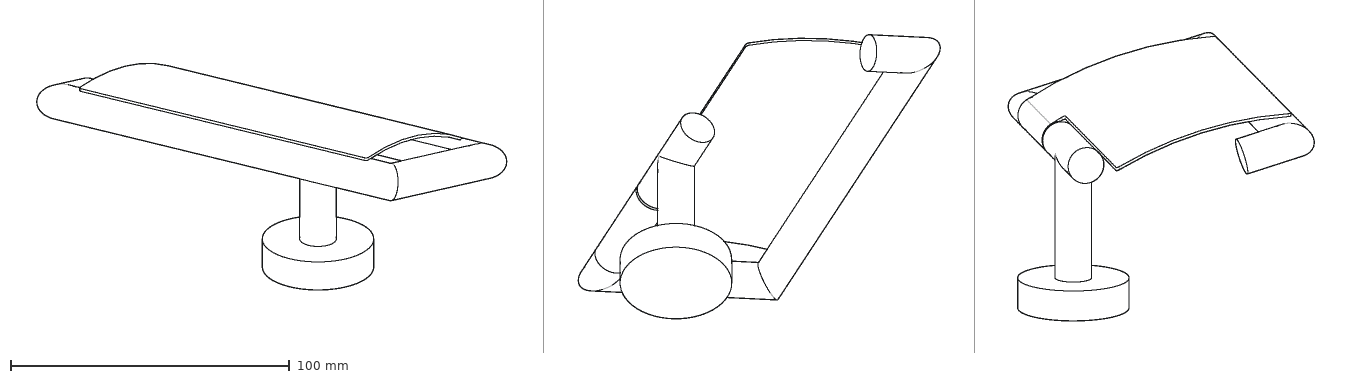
import cadquery as cq
import math

tube_radius = 6.6
flange_diameter = 40.0
flange_height = 11.1
hinge_height = 57.3
socket_half_length = flange_diameter / 2

arm_tilt = 15
arm_reach = 66.9
arm_left = -75.3
arm_length = 150
arm_right = arm_left + arm_length
side_bar_x = arm_right - tube_radius
stub_x = arm_left + tube_radius
stub_end = 47.5

plate_left = -60.8
plate_right = 59.1
plate_back = 1.8
plate_front = 66.2
plate_thickness = 1.0
plate_radius = 137.0
plate_corner_radius = 1.0
clip_gap = 1.0
clip_left = socket_half_length + clip_gap
tangent_angle = math.radians(31)
clip_mouth_angle = 48


def hinge_cylinder(radius, start, end):
    """Cylinder about the hinge axis."""
    return cq.Workplane("YZ", origin=(start, 0, hinge_height)).circle(radius).extrude(end - start)


def make_flange():
    return cq.Workplane("XY").circle(flange_diameter / 2).extrude(flange_height)


def make_post():
    """Upright post with a horizontal socket of the same diameter on top."""
    upright = (
        cq.Workplane("XY", origin=(0, 0, flange_height))
        .circle(tube_radius)
        .extrude(hinge_height - flange_height)
    )
    socket = hinge_cylinder(tube_radius, -socket_half_length, socket_half_length)
    socket = socket.rotate((0, 0, hinge_height), (1, 0, hinge_height), 90)
    return socket.union(upright)


def make_arm():
    """Mitred tube frame: hinge bar, side bar, front bar and a short return stub."""
    frame = (
        cq.Workplane("XY")
        .moveTo(socket_half_length, 0)
        .lineTo(side_bar_x, 0)
        .lineTo(side_bar_x, -arm_reach)
        .lineTo(stub_x, -arm_reach)
        .lineTo(stub_x, -stub_end)
    )
    return (
        cq.Workplane("YZ", origin=(socket_half_length, 0, 0))
        .circle(tube_radius)
        .sweep(frame, transition="right")
        .rotate((0, 0, 0), (1, 0, 0), -arm_tilt)
        .translate((0, 0, hinge_height))
    )


center_distance = plate_radius - tube_radius
plate_center = (-center_distance * math.sin(tangent_angle), -center_distance * math.cos(tangent_angle))
inner_radius = plate_radius - plate_thickness


def arc_point(center, radius, angle):
    """Point on a circle, with the angle measured from +Z toward -Y."""
    return (center[0] - radius * math.sin(angle), center[1] + radius * math.cos(angle))


def make_plate():
    """Curved plate, trimmed to an L-shaped plan whose back tab reaches the clip."""
    ring = (
        cq.Workplane("YZ", origin=(plate_left, 0, hinge_height))
        .center(*plate_center)
        .circle(plate_radius)
        .circle(inner_radius)
        .extrude(plate_right - plate_left)
    )
    plan = (
        cq.Workplane("XY", origin=(0, 0, hinge_height))
        .polyline([
            (plate_left, -plate_front),
            (plate_right, -plate_front),
            (plate_right, 0),
            (clip_left, 0),
            (clip_left, -plate_back),
            (plate_left, -plate_back),
        ])
        .close()
        .extrude(plate_radius)
    )
    tab_back_edges = cq.selectors.BoxSelector(
        (clip_left - 1.5, -plate_back / 2, hinge_height),
        (plate_right + 1.5, plate_back, hinge_height + plate_radius),
    )
    plan = plan.edges(cq.StringSyntaxSelector("|Z") - tab_back_edges).fillet(plate_corner_radius)
    return ring.intersect(plan)


def make_clip():
    """Tab and C-shaped clip in one strip: tangent off the plate, then round the arm to the mouth."""
    axis = (0, 0)
    clip_inner_radius = tube_radius - plate_thickness
    tab_end_angle = math.asin((plate_back + plate_center[0]) / plate_radius)
    tab_mid_angle = (tab_end_angle - tangent_angle) / 2
    mouth_angle = math.radians(clip_mouth_angle)
    section = (
        cq.Workplane("YZ", origin=(clip_left, 0, hinge_height))
        .moveTo(*arc_point(axis, tube_radius, -tangent_angle))
        .threePointArc(
            arc_point(plate_center, plate_radius, tab_mid_angle),
            arc_point(plate_center, plate_radius, tab_end_angle),
        )
        .lineTo(*arc_point(plate_center, inner_radius, tab_end_angle))
        .threePointArc(
            arc_point(plate_center, inner_radius, tab_mid_angle),
            arc_point(axis, clip_inner_radius, -tangent_angle),
        )
        .threePointArc(
            arc_point(axis, clip_inner_radius, math.pi),
            arc_point(axis, clip_inner_radius, mouth_angle),
        )
        .lineTo(*arc_point(axis, tube_radius, mouth_angle))
        .threePointArc(
            arc_point(axis, tube_radius, math.pi),
            arc_point(axis, tube_radius, -tangent_angle),
        )
        .close()
    )
    return section.extrude(plate_right - clip_left)


def make_cover():
    return make_plate().union(make_clip())


flange = make_flange()
post = make_post()
cover = make_cover()
arm = make_arm().cut(cover)

result = cq.Compound.makeCompound([body.solids().val() for body in (flange, post, arm, cover)])